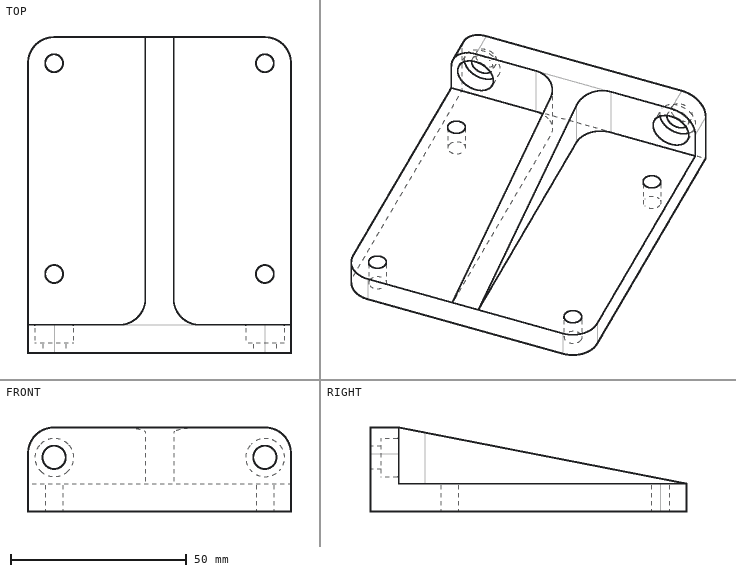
import cadquery as cq

width = 75.0
length = 90.0
height = 24.0
wall = 8.0
corner_radius = 7.5
hole_spacing = 60.0
plate_hole_diameter = 5.0
flange_hole_diameter = 6.6
counterbore_diameter = 11.0
counterbore_depth = 5.0

half_rib = wall / 2
half_spacing = hole_spacing / 2
rear_hole_y = length - corner_radius
front_hole_y = rear_hole_y - hole_spacing
flange_hole_height = wall + corner_radius


def base_plate():
    """Flat plate with rounded rear corners."""
    plate = cq.Workplane("XY").box(width, length, wall, centered=(True, False, False))
    return plate.edges("|Z and >Y").fillet(corner_radius)


def upright_flange():
    """Full-width front wall with rounded top corners."""
    flange = cq.Workplane("XY").box(width, wall, height, centered=(True, False, False))
    return flange.edges("|Y and >Z").fillet(corner_radius)


def sloping_rib():
    """Central rib flaring into the flange, its top falling to the plate's rear edge."""
    flare_half_width = half_rib + corner_radius
    flare_end_y = wall + corner_radius
    footprint = (
        cq.Workplane("XY")
        .moveTo(-flare_half_width, wall)
        .lineTo(flare_half_width, wall)
        .radiusArc((half_rib, flare_end_y), corner_radius)
        .lineTo(half_rib, length)
        .lineTo(-half_rib, length)
        .lineTo(-half_rib, flare_end_y)
        .radiusArc((-flare_half_width, wall), corner_radius)
        .close()
        .extrude(height)
    )
    side_profile = (
        cq.Workplane("YZ")
        .polyline([(wall, 0), (length, 0), (length, wall), (wall, height)])
        .close()
        .extrude(flare_half_width, both=True)
    )
    return footprint.intersect(side_profile)


def plate_holes():
    """Four vertical through holes in a square pattern."""
    centres = [(x, y) for x in (-half_spacing, half_spacing) for y in (front_hole_y, rear_hole_y)]
    return cq.Workplane("XY").pushPoints(centres).circle(plate_hole_diameter / 2).extrude(wall)


def flange_holes():
    """Two through holes along Y in the flange, counterbored from its inner face."""
    centres = [(x, flange_hole_height) for x in (-half_spacing, half_spacing)]
    inner_face = cq.Workplane("XZ", origin=(0, wall, 0)).pushPoints(centres)
    bores = inner_face.circle(flange_hole_diameter / 2).extrude(wall)
    counterbores = inner_face.circle(counterbore_diameter / 2).extrude(counterbore_depth)
    return bores.union(counterbores)


body = base_plate().union(upright_flange()).union(sloping_rib())
result = body.cut(plate_holes()).cut(flange_holes())